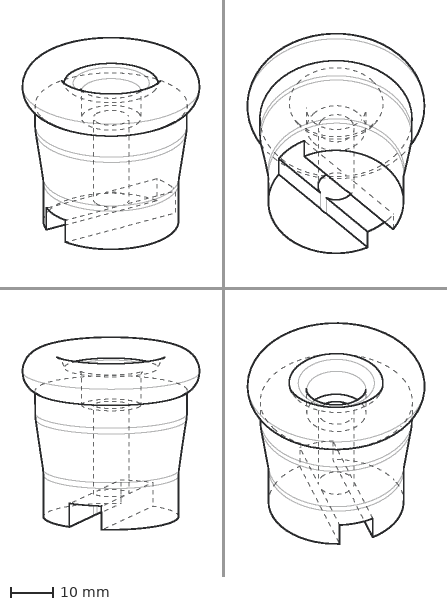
import cadquery as cq

outer_diameter = 42.0
tube_radius = 5.0
ring_radius = outer_diameter / 2 - tube_radius
total_height = 40.0
ring_height = total_height - tube_radius

collar_radius = 18.0
skirt_radius = 16.05
taper_top = 24.3
taper_bottom = 10.75
taper_blend_radius = 10.0
seat_height = ring_height + 1.0

bore_radius = 7.0
bore_mouth_radius = 2.0
bore_floor_height = 27.0
hole_radius = 4.25

slot_width = 8.25
slot_height = 5.7


def make_body():
    """Solid of revolution with both ends of the taper blended."""
    profile = [
        (0, 0),
        (skirt_radius, 0),
        (skirt_radius, taper_bottom),
        (collar_radius, taper_top),
        (collar_radius, ring_height),
        (ring_radius, ring_height),
        (ring_radius, seat_height),
        (0, seat_height),
    ]
    body = cq.Workplane("XZ").polyline(profile).close().revolve(360, (0, 0), (0, 1))
    taper_edges = cq.selectors.BoxSelector(
        (-outer_diameter, -outer_diameter, taper_bottom / 2),
        (outer_diameter, outer_diameter, (taper_top + ring_height) / 2),
        boundingbox=True,
    )
    return body.edges("%CIRCLE").edges(taper_edges).fillet(taper_blend_radius)


def make_rim():
    """Ring that surrounds the recessed seat at the top of the body."""
    section = cq.Workplane("XZ").center(ring_radius, ring_height).circle(tube_radius)
    return section.revolve(360, (-ring_radius, 0), (-ring_radius, 1))


def make_bore():
    """Wide bore with a rounded mouth, above a narrower through hole."""
    mouth_edge_radius = bore_radius + bore_mouth_radius
    mouth_start = seat_height - bore_mouth_radius
    return (
        cq.Workplane("XZ")
        .moveTo(0, 0)
        .lineTo(hole_radius, 0)
        .lineTo(hole_radius, bore_floor_height)
        .lineTo(bore_radius, bore_floor_height)
        .lineTo(bore_radius, mouth_start)
        .radiusArc((mouth_edge_radius, seat_height), bore_mouth_radius)
        .lineTo(0, seat_height)
        .close()
        .revolve(360, (0, 0), (0, 1))
    )


def make_slot():
    """Open-ended slot cutting right through the skirt."""
    return cq.Workplane("XY").box(
        slot_width, outer_diameter, slot_height, centered=(True, True, False)
    )


result = make_body().union(make_rim()).cut(make_bore()).cut(make_slot())